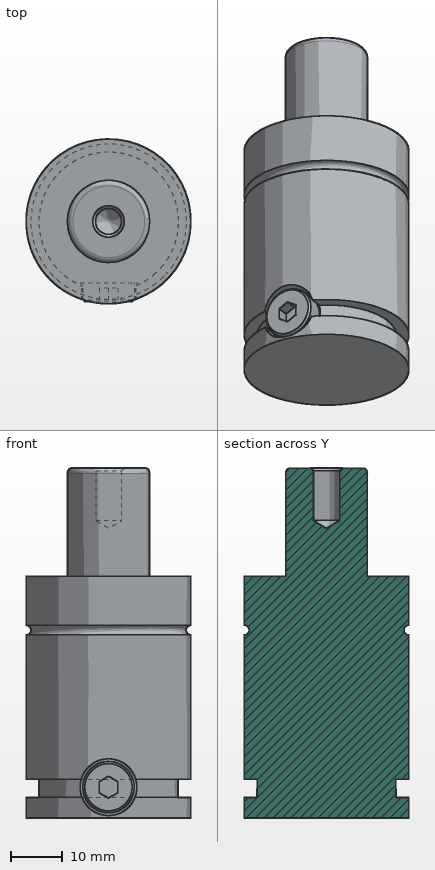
import cadquery as cq
import math

body_diameter = 32.0
body_height = 47.0
body_radius = body_diameter / 2

collar_groove_bottom = 35.55
collar_groove_top = 37.4
collar_groove_radius = (collar_groove_top - collar_groove_bottom) / 2

clamp_groove_bottom = 4.0
clamp_groove_top = 7.5
clamp_groove_radius = 13.5

total_height = 68.0
rod_radius = 16.0 / 2
rod_edge_fillet = 1.0
rod_hole_diameter = 5.0
rod_hole_mouth_diameter = 6.1
rod_hole_depth = 10.2
drill_tip_angle = 118.0

screw_height = 6.0
screw_diameter = 10.0
screw_face_offset = 15.6
screw_edge_chamfer = 0.4
seat_diameter = 11.0
seat_floor_offset = 11.9
hex_across_flats = 3.7
hex_depth = 2.7


def make_body_and_rod():
    """Revolve the body, its two grooves and the piston rod about Z."""
    groove_middle = (collar_groove_bottom + collar_groove_top) / 2
    profile = (
        cq.Workplane("XZ")
        .lineTo(body_radius, 0)
        .lineTo(body_radius, clamp_groove_bottom)
        .lineTo(clamp_groove_radius, clamp_groove_bottom)
        .lineTo(clamp_groove_radius, clamp_groove_top)
        .lineTo(body_radius, clamp_groove_top)
        .lineTo(body_radius, collar_groove_bottom)
        .threePointArc(
            (body_radius - collar_groove_radius, groove_middle),
            (body_radius, collar_groove_top),
        )
        .lineTo(body_radius, body_height)
        .lineTo(rod_radius, body_height)
        .lineTo(rod_radius, total_height)
        .lineTo(0, total_height)
        .close()
    )
    solid = profile.revolve(360, (0, 0, 0), (0, 1, 0))
    return solid.faces(">Z").edges().fillet(rod_edge_fillet)


def make_rod_hole():
    """Blind hole with a 45 degree countersunk mouth and a conical drill tip."""
    hole_radius = rod_hole_diameter / 2
    mouth_radius = rod_hole_mouth_diameter / 2
    countersink_depth = mouth_radius - hole_radius
    tip_length = hole_radius / math.tan(math.radians(drill_tip_angle / 2))
    hole_bottom = total_height - rod_hole_depth
    return (
        cq.Workplane("XZ")
        .moveTo(0, total_height)
        .lineTo(mouth_radius, total_height)
        .lineTo(hole_radius, total_height - countersink_depth)
        .lineTo(hole_radius, hole_bottom)
        .lineTo(0, hole_bottom - tip_length)
        .close()
        .revolve(360, (0, 0, 0), (0, 1, 0))
    )


def screw_plane(offset):
    """Workplane facing -Y on the screw axis, at a distance from the body axis."""
    return cq.Workplane("XZ", origin=(0, -offset, screw_height))


def make_screw_seat():
    seat_depth = body_radius - seat_floor_offset
    return screw_plane(seat_floor_offset).circle(seat_diameter / 2).extrude(seat_depth)


def make_screw():
    """Screw head with a chamfered rim and a hexagon socket, corners up and down."""
    head_height = screw_face_offset - seat_floor_offset
    hex_across_corners = hex_across_flats / math.cos(math.radians(30))
    head = (
        screw_plane(seat_floor_offset)
        .circle(screw_diameter / 2)
        .extrude(head_height)
        .faces("<Y")
        .edges()
        .chamfer(screw_edge_chamfer)
    )
    socket = (
        screw_plane(screw_face_offset)
        .transformed(rotate=(0, 0, 90))
        .polygon(6, hex_across_corners)
        .extrude(-hex_depth)
    )
    return head.cut(socket)


result = (
    make_body_and_rod()
    .cut(make_rod_hole())
    .cut(make_screw_seat())
    .union(make_screw())
)